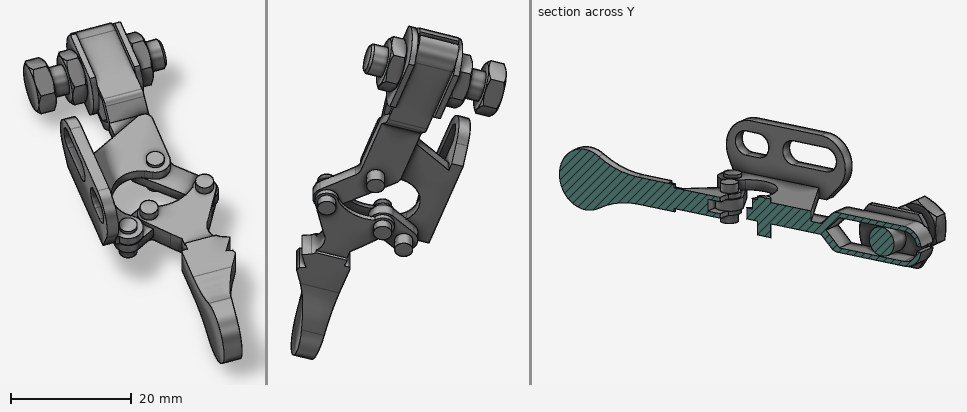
import cadquery as cq
import math


ARM_PIVOT = (23.7, 13.65)
ARM_LEVER_JOINT = (30.95, 19.8)
LEVER_LINK_JOINT = (33.3, 9.25)
LINK_PIVOT = (35.75, 4.75)
PIN_RADIUS = 1.5
PIN_HALF_LENGTH = 3.4

ARM_HALF = 1.0
BASE_THICK = 1.8
FORK_HALF = 1.85

FOOT_THICK = 2.0
FOOT_LENGTH = 24.0
FOOT_LEFT = 14.95
FOOT_TOP = 12.0
FOOT_RADIUS = 5.0
FOOT_EDGE_LEFT = 18.75
FOOT_EDGE_RIGHT = 36.75
SLOT_WIDTH = 4.2
SLOT_Z = 7.95
SLOT_SPANS = ((16.75, 27.55), (30.4, 37.1))
BASE_EYE_RADIUS = 2.5
BASE_CORNER = (15.0, 14.7)
BASE_CORNER_RADIUS = 1.5
BASE_EYE_END = -30
THROAT_START = 155
THROAT_END = -52
LINK_EYE_START = 128
BASE_FRONT_X = 20.3
BASE_REAR_X = 37.2
THROAT_CENTRE = (29.75, 9.15)
THROAT_RADIUS = 5.0

ARM_BOTTOM = 9.5
ARM_TOP = 16.4
ELBOW_TOP = (23.85, ARM_TOP)
ELBOW_BOTTOM = (23.55, ARM_BOTTOM)
LOOP_BOTTOM = 9.6
LOOP_TIP = -8.03
LOOP_HALF = 3.5
LOOP_THICK = 0.9
LOOP_SLOPE_START = 9.6
LOOP_END = 12.2
LOOP_POINT = 11.15
LOOP_GAP = 0.85
LOOP_BEND_RADIUS = 1.8
ARM_EYE_RADIUS = 2.3
ELBOW_RADIUS = 2.0

LINK_RADIUS = 2.35

LEVER_EYE_RADIUS = 1.95
FORK_ROOT_X = 35.0
GRIP_X = 41.8
GRIP_HALF = 2.4
GRIP_BOTTOM = 11.55
NECK_BOTTOM = 12.65
NECK_FRONT = (40.3, NECK_BOTTOM)
BELLY_KINK = (38.66, 11.2)
CHEEK_MIDDLE = (32.0, 15.3)
DIP_START = (37.9, 18.0)
DIP_MIDDLE = (39.7, 17.35)
DIP_END = (42.3, 18.65)
THUMB_STEPS = ((42.95, 20.15), (45.5, 18.6), (45.8, 19.65), (46.5, 19.9))
GRIP_FRONT = 43.1
GRIP_CORNER_RADIUS = 0.4
FLARE_START_X = 49.1
KNOB_RADIUS = 5.29
LEVER_END = 65.01
TAPER_START = (FLARE_START_X, 18.4)
TAPER_MIDDLE = (55.55, 15.9)
TAPER_END = (62.5, 14.82)
TIP_TOP = 14.7
LEVER_CLEARANCE = 10.0

THREAD_DIA = 5.1
SPINDLE_LENGTH = 23.0
SPINDLE_CHAMFER = 0.4
HEX_FLATS = 8.0
HEX_FACE_DIA = 7.9
HEX_CHAMFER_ANGLE = 30.0
HEAD_HEIGHT = 3.1
NUT_HEIGHT = 2.7
WASHER_THICK = 1.0
WASHER_DIA = 13.7
WASHER_FLATS = 9.45


def extrude_z(z_low, z_high):
    """Sketch plane for a plate lying between two Z levels, with its thickness."""
    return cq.Workplane("XY", origin=(0, 0, z_low)), z_high - z_low


def disc(centre, radius, z_low, z_high):
    plane, thick = extrude_z(z_low, z_high)
    return plane.center(*centre).circle(radius).extrude(thick)


def rod_y(y_low, y_high, dia):
    """Round rod along the spindle axis."""
    return cq.Workplane("XZ", origin=(0, y_low, 0)).circle(dia / 2).extrude(y_low - y_high)


def polar(centre, radius, degrees):
    angle = math.radians(degrees)
    return (centre[0] + radius * math.cos(angle), centre[1] + radius * math.sin(angle))


def tangent_degrees(centre, radius, point, side):
    """Direction from the centre to where a line from the point touches the circle."""
    dx = point[0] - centre[0]
    dy = point[1] - centre[1]
    spread = math.degrees(math.acos(radius / math.hypot(dx, dy)))
    return math.degrees(math.atan2(dy, dx)) + side * spread


def hexagon(y_low, height):
    """Hexagon with corners at +Z and -Z and both faces chamfered."""
    corner_dia = HEX_FLATS / math.cos(math.radians(30))
    inset = (corner_dia - HEX_FACE_DIA) / 2
    drop = inset * math.tan(math.radians(HEX_CHAMFER_ANGLE))
    prism = (
        cq.Workplane("XZ", origin=(0, y_low, 0))
        .transformed(rotate=(0, 0, 30))
        .polygon(6, corner_dia)
        .extrude(-height)
    )
    half = corner_dia / 2
    face = HEX_FACE_DIA / 2
    top = y_low + height
    envelope = (
        cq.Workplane("XY")
        .polyline([
            (0, y_low), (face, y_low), (half, y_low + drop),
            (half, top - drop), (face, top), (0, top),
        ])
        .close()
        .revolve(360, (0, 0, 0), (0, 1, 0))
    )
    return prism.intersect(envelope)


def washer(y_low):
    flats = cq.Workplane("XY").box(WASHER_DIA, WASHER_THICK, WASHER_FLATS)
    return rod_y(y_low, y_low + WASHER_THICK, WASHER_DIA).intersect(
        flats.translate((0, y_low + WASHER_THICK / 2, 0))
    )


def make_spindle():
    """Bolt with its head at Y = 0 and a nut and flanged washer on each side of the arm."""
    lower_washer = LOOP_BOTTOM - WASHER_THICK
    upper_nut = ARM_TOP + WASHER_THICK
    thread = rod_y(0, SPINDLE_LENGTH, THREAD_DIA).faces(">Y").chamfer(SPINDLE_CHAMFER)
    return (
        thread
        .union(hexagon(0, HEAD_HEIGHT))
        .union(hexagon(lower_washer - NUT_HEIGHT, NUT_HEIGHT))
        .union(washer(lower_washer))
        .union(washer(ARM_TOP))
        .union(hexagon(upper_nut, NUT_HEIGHT))
    )


def make_loop():
    """Open loop of strip around the spindle, split at the tip."""
    width = ARM_TOP - LOOP_BOTTOM
    tip_centre = LOOP_TIP + LOOP_HALF
    inner_half = LOOP_HALF - LOOP_THICK
    inner_slope_start = LOOP_POINT - inner_half * (LOOP_END - LOOP_SLOPE_START) / (LOOP_HALF - ARM_HALF)

    def section():
        return cq.Workplane("XZ", origin=(0, LOOP_BOTTOM, 0))

    outer = (
        section()
        .moveTo(LOOP_END, ARM_HALF)
        .lineTo(LOOP_SLOPE_START, LOOP_HALF)
        .lineTo(tip_centre, LOOP_HALF)
        .threePointArc((LOOP_TIP, 0), (tip_centre, -LOOP_HALF))
        .lineTo(LOOP_SLOPE_START, -LOOP_HALF)
        .lineTo(LOOP_END, -ARM_HALF)
        .close()
        .extrude(-width)
    )
    inner = (
        section()
        .moveTo(LOOP_POINT, 0)
        .lineTo(inner_slope_start, inner_half)
        .lineTo(tip_centre, inner_half)
        .threePointArc((LOOP_TIP + LOOP_THICK, 0), (tip_centre, -inner_half))
        .lineTo(inner_slope_start, -inner_half)
        .close()
        .extrude(-width)
    )
    bends = cq.selectors.BoxSelector(
        (LOOP_SLOPE_START - LOOP_THICK, LOOP_BOTTOM, -2 * LOOP_HALF),
        (LOOP_SLOPE_START + LOOP_THICK, ARM_TOP, 2 * LOOP_HALF),
    )
    outer = outer.edges("|Y").edges(bends).fillet(LOOP_BEND_RADIUS)
    gap = section().center(LOOP_TIP, 0).rect(2 * LOOP_HALF, LOOP_GAP).extrude(-width)
    return outer.cut(inner).cut(gap)


def make_arm():
    """Loop, flat arm and the upturned end that carries the lever."""
    plane, thick = extrude_z(-ARM_HALF, ARM_HALF)
    joint = ARM_LEVER_JOINT
    upper = polar(joint, ARM_EYE_RADIUS, tangent_degrees(joint, ARM_EYE_RADIUS, ELBOW_TOP, -1))
    lower = polar(joint, ARM_EYE_RADIUS, tangent_degrees(joint, ARM_EYE_RADIUS, ELBOW_BOTTOM, 1))
    strip = (
        plane
        .polyline([
            (LOOP_END, ARM_BOTTOM), ELBOW_BOTTOM, lower, upper, ELBOW_TOP, (LOOP_END, ARM_TOP),
        ])
        .close()
        .extrude(thick)
    )
    for corner in (ELBOW_BOTTOM, ELBOW_TOP):
        edge = cq.selectors.NearestToPointSelector((*corner, 0))
        strip = strip.edges(edge).fillet(ELBOW_RADIUS)
    eye = disc(joint, ARM_EYE_RADIUS, -ARM_HALF, ARM_HALF)
    return strip.union(eye).union(make_loop())


def make_foot():
    """Upright mounting foot with two slots."""
    foot_right = FOOT_LEFT + FOOT_LENGTH
    centre_z = FOOT_TOP - FOOT_RADIUS
    left = (FOOT_LEFT + FOOT_RADIUS, centre_z)
    right = (foot_right - FOOT_RADIUS, centre_z)
    edge_left = (FOOT_EDGE_LEFT, ARM_HALF)
    edge_right = (FOOT_EDGE_RIGHT, ARM_HALF)
    left_touch = polar(left, FOOT_RADIUS, tangent_degrees(left, FOOT_RADIUS, edge_left, -1))
    right_touch = polar(right, FOOT_RADIUS, tangent_degrees(right, FOOT_RADIUS, edge_right, 1))
    foot = (
        cq.Workplane("XZ")
        .moveTo(*edge_left)
        .lineTo(*left_touch)
        .threePointArc(polar(left, FOOT_RADIUS, 150), (left[0], FOOT_TOP))
        .lineTo(right[0], FOOT_TOP)
        .threePointArc(polar(right, FOOT_RADIUS, 30), right_touch)
        .lineTo(*edge_right)
        .close()
        .extrude(-FOOT_THICK)
    )
    for start, end in SLOT_SPANS:
        slot = (
            cq.Workplane("XZ")
            .center((start + end) / 2, SLOT_Z)
            .slot2D(end - start, SLOT_WIDTH)
            .extrude(-FOOT_THICK)
        )
        foot = foot.cut(slot)
    return foot


def make_base():
    """Foot and the web plate that holds the two fixed pivots."""
    web_bottom = ARM_HALF
    web_top = ARM_HALF + BASE_THICK
    plane, thick = extrude_z(web_bottom, web_top)
    front_foot = (BASE_FRONT_X, FOOT_THICK)
    corner_degrees = tangent_degrees(BASE_CORNER, BASE_CORNER_RADIUS, front_foot, -1)
    pivot_x, pivot_y = ARM_PIVOT
    link_x, link_y = LINK_PIVOT
    rear_drop = math.sqrt(BASE_EYE_RADIUS**2 - (BASE_REAR_X - link_x)**2)
    web = (
        plane
        .moveTo(*front_foot)
        .lineTo(*polar(BASE_CORNER, BASE_CORNER_RADIUS, corner_degrees))
        .threePointArc(
            polar(BASE_CORNER, BASE_CORNER_RADIUS, 150),
            (BASE_CORNER[0], BASE_CORNER[1] + BASE_CORNER_RADIUS),
        )
        .lineTo(pivot_x, pivot_y + BASE_EYE_RADIUS)
        .threePointArc(
            polar(ARM_PIVOT, BASE_EYE_RADIUS, 30),
            polar(ARM_PIVOT, BASE_EYE_RADIUS, BASE_EYE_END),
        )
        .lineTo(*polar(THROAT_CENTRE, THROAT_RADIUS, THROAT_START))
        .threePointArc(
            polar(THROAT_CENTRE, THROAT_RADIUS, 230),
            polar(THROAT_CENTRE, THROAT_RADIUS, THROAT_END),
        )
        .lineTo(*polar(LINK_PIVOT, BASE_EYE_RADIUS, LINK_EYE_START))
        .threePointArc(polar(LINK_PIVOT, BASE_EYE_RADIUS, 30), (BASE_REAR_X, link_y - rear_drop))
        .lineTo(BASE_REAR_X, FOOT_THICK)
        .close()
        .extrude(thick)
    )
    return web.union(make_foot())


def make_link():
    """Short link from the base to the lever."""
    plane, thick = extrude_z(-ARM_HALF, ARM_HALF)
    dx = LINK_PIVOT[0] - LEVER_LINK_JOINT[0]
    dy = LINK_PIVOT[1] - LEVER_LINK_JOINT[1]
    middle = (LEVER_LINK_JOINT[0] + dx / 2, LEVER_LINK_JOINT[1] + dy / 2)
    return (
        plane
        .center(*middle)
        .slot2D(math.hypot(dx, dy) + 2 * LINK_RADIUS, 2 * LINK_RADIUS, math.degrees(math.atan2(dy, dx)))
        .extrude(thick)
    )


def lever_profile():
    """Side outline of the lever in the XY plane, as thick as the knob is wide."""
    plane, thick = extrude_z(-KNOB_RADIUS, KNOB_RADIUS)
    body = (
        plane
        .moveTo(*polar(ARM_LEVER_JOINT, LEVER_EYE_RADIUS, 60))
        .lineTo(*DIP_START)
        .threePointArc(DIP_MIDDLE, DIP_END)
    )
    for corner in THUMB_STEPS:
        body = body.lineTo(*corner)
    body = (
        body
        .lineTo(*TAPER_START)
        .threePointArc(TAPER_MIDDLE, TAPER_END)
        .lineTo(LEVER_END, TIP_TOP)
        .lineTo(LEVER_END, GRIP_BOTTOM)
        .lineTo(GRIP_FRONT + GRIP_CORNER_RADIUS, GRIP_BOTTOM)
        .radiusArc((GRIP_FRONT, GRIP_BOTTOM + GRIP_CORNER_RADIUS), GRIP_CORNER_RADIUS)
        .lineTo(GRIP_FRONT, NECK_BOTTOM)
        .lineTo(*NECK_FRONT)
        .lineTo(*BELLY_KINK)
        .lineTo(*polar(LEVER_LINK_JOINT, LEVER_EYE_RADIUS, -50))
        .lineTo(*polar(LEVER_LINK_JOINT, LEVER_EYE_RADIUS, 120))
        .threePointArc(CHEEK_MIDDLE, polar(ARM_LEVER_JOINT, LEVER_EYE_RADIUS, 210))
        .close()
        .extrude(thick)
    )
    for joint in (ARM_LEVER_JOINT, LEVER_LINK_JOINT):
        body = body.union(disc(joint, LEVER_EYE_RADIUS, -KNOB_RADIUS, KNOB_RADIUS))
    return body


def lever_width():
    """Plan outline of the lever in the XZ plane: fork, neck, grip, flare and round knob."""
    knob_x = LEVER_END - KNOB_RADIUS
    run = knob_x - FLARE_START_X
    flare_radius = (run**2 + GRIP_HALF**2 - KNOB_RADIUS**2) / (2 * (KNOB_RADIUS - GRIP_HALF))
    touch_degrees = math.degrees(math.atan2(GRIP_HALF + flare_radius, -run))
    touch = polar((knob_x, 0), KNOB_RADIUS, touch_degrees)
    flare_centre = (FLARE_START_X, GRIP_HALF + flare_radius)
    flare_middle = polar(flare_centre, flare_radius, (touch_degrees - 180 - 90) / 2)
    fork_left = LEVER_LINK_JOINT[0] - LEVER_CLEARANCE
    height = ARM_LEVER_JOINT[1] + LEVER_CLEARANCE
    return (
        cq.Workplane("XZ")
        .moveTo(fork_left, -FORK_HALF)
        .lineTo(fork_left, FORK_HALF)
        .lineTo(GRIP_X, FORK_HALF)
        .lineTo(GRIP_X, GRIP_HALF)
        .lineTo(FLARE_START_X, GRIP_HALF)
        .threePointArc(flare_middle, touch)
        .threePointArc((LEVER_END, 0), (touch[0], -touch[1]))
        .threePointArc((flare_middle[0], -flare_middle[1]), (FLARE_START_X, -GRIP_HALF))
        .lineTo(GRIP_X, -GRIP_HALF)
        .lineTo(GRIP_X, -FORK_HALF)
        .close()
        .extrude(-height)
    )


def make_lever():
    """Handle whose front end forks around the arm and the link."""
    slot_length = 2 * LEVER_CLEARANCE
    slot_height = 2 * (ARM_LEVER_JOINT[1] + LEVER_CLEARANCE)
    fork_slot = cq.Workplane("XY").box(slot_length, slot_height, 2 * ARM_HALF)
    fork_slot = fork_slot.translate((FORK_ROOT_X - slot_length / 2, 0, 0))
    return lever_profile().intersect(lever_width()).cut(fork_slot)


result = make_arm()
for member in (make_spindle(), make_base(), make_link(), make_lever()):
    result = result.union(member)
for pin_centre in (ARM_PIVOT, ARM_LEVER_JOINT, LEVER_LINK_JOINT, LINK_PIVOT):
    result = result.union(disc(pin_centre, PIN_RADIUS, -PIN_HALF_LENGTH, PIN_HALF_LENGTH))